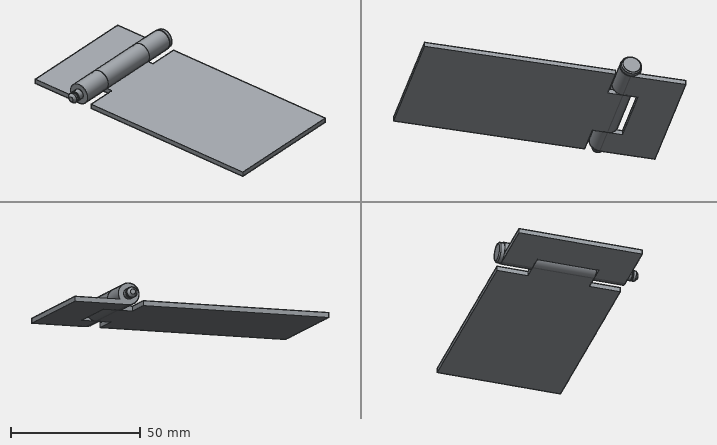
import cadquery as cq

hinge_length = 104.0
leaf_width = 50.0
leaf_thickness = 2.0
knuckle_diameter = 8.5
narrow_leaf_notch_x = 16.0
wide_leaf_notch_x = 28.0
middle_knuckle_width = 25.0

pin_diameter = 4.2
head_diameter = 8.0
head_thickness = 2.0
head_chamfer = 0.5
tip_length = 5.0
groove_start = 2.4
groove_width = 0.5
groove_depth = 0.3
tip_chamfer = 1.0

axis_x = (narrow_leaf_notch_x + wide_leaf_notch_x) / 2
knuckle_radius = knuckle_diameter / 2
axis_z = knuckle_radius
half_width = leaf_width / 2
half_middle = middle_knuckle_width / 2
pin_radius = pin_diameter / 2


def box_between(x_start, x_end, y_start, y_end):
    """Flat piece of leaf resting on Z = 0."""
    return cq.Workplane("XY").box(
        x_end - x_start, y_end - y_start, leaf_thickness, centered=False
    ).translate((x_start, y_start, 0))


def cylinder_along_axis(radius, y_start, y_end):
    """Cylinder around the pin axis."""
    return (
        cq.Workplane("XZ", origin=(axis_x, y_start, axis_z))
        .circle(radius)
        .extrude(y_start - y_end)
    )


def make_leaf(outer_x, notch_x, knuckle_spans):
    """Leaf from outer_x to its notch edge, with an arm and a bored knuckle in each Y span."""
    leaf = box_between(min(outer_x, notch_x), max(outer_x, notch_x), -half_width, half_width)
    for y_start, y_end in knuckle_spans:
        arm = box_between(min(axis_x, notch_x), max(axis_x, notch_x), y_start, y_end)
        leaf = leaf.union(arm).union(cylinder_along_axis(knuckle_radius, y_start, y_end))
    return leaf.cut(cylinder_along_axis(pin_radius, -half_width, half_width))


def make_pin():
    """Headed pin with a retaining groove and a tapered tip."""
    tip_y = -half_width - tip_length
    shank = cylinder_along_axis(pin_radius, tip_y, half_width).faces("<Y").edges().chamfer(tip_chamfer)

    groove_y = -half_width - groove_start
    groove = cylinder_along_axis(pin_radius, groove_y - groove_width, groove_y).cut(
        cylinder_along_axis(pin_radius - groove_depth, groove_y - groove_width, groove_y)
    )

    head = cylinder_along_axis(head_diameter / 2, half_width, half_width + head_thickness)
    head = head.faces(">Y").edges().chamfer(head_chamfer)
    return shank.cut(groove).union(head)


narrow_leaf = make_leaf(0, narrow_leaf_notch_x, [(-half_width, -half_middle), (half_middle, half_width)])
wide_leaf = make_leaf(hinge_length, wide_leaf_notch_x, [(-half_middle, half_middle)])
pin = make_pin()

result = cq.Compound.makeCompound([body.solids().val() for body in (narrow_leaf, wide_leaf, pin)])